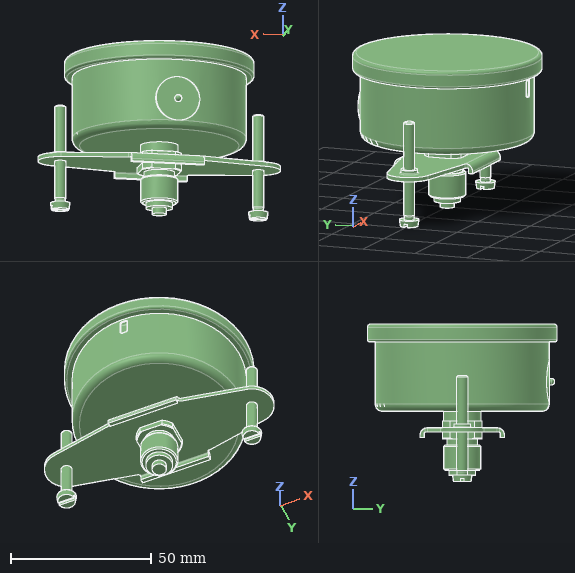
import cadquery as cq
import math

total_height = 56.1
total_length = 88.0

bezel_diameter = 67.6
bezel_bottom = 49.7
bezel_top_radius = 1.3
bezel_bottom_radius = 0.9
case_diameter = 62.0
case_bottom = 25.0
case_bottom_radius = 2.6

vent_width = 2.5
vent_height = 5.9
vent_center_z = 45.4
vent_end_radius = 0.7
vent_rim_chamfer = 0.22

pad_diameter = 15.8
pad_projection = 0.1
pad_center_z = 35.55
plug_diameter = 2.5
plug_reach = 32.9

neck_diameter = 13.5
square_top = 21.65
square_bottom = 15.2
square_width = 14.2
square_corner_diameter = 16.5
square_chamfer_height = 0.3
square_chamfer_depth = 0.35
relief_diameter = 11.0
barrel_diameter = 13.2
barrel_top = 13.1
barrel_bottom = 4.05
barrel_chamfer = 0.5
collar_diameter = 9.5
collar_bottom = 2.2
stud_diameter = 5.0

bracket_top = 19.2
bracket_thickness = 1.6
bracket_end_radius = 7.9
bracket_edge_angle = math.radians(11.0)
flange_length = 26.4
flange_width = 30.1
flange_bottom = 15.7
bend_outer_radius = 2.6
bend_inner_radius = 0.3
relief_radius = 0.9

screw_x = total_length / 2 - bracket_end_radius
screw_diameter = 4.0
screw_top = 37.75
screw_tip_chamfer = 0.4
undercut_diameter = 3.6
undercut_top = 3.5
undercut_taper_top = 4.05
head_height = 2.4
head_top_diameter = 7.0
head_bottom_diameter = 6.3
driver_slot_width = 1.2
driver_slot_depth = 1.1
bushing_diameter = 6.0
bushing_top = 20.6
bushing_base_radius = 0.4


def disc(diameter, bottom, top):
    """Upright cylinder on the Z axis between two heights."""
    return cq.Workplane("XY").workplane(offset=bottom).circle(diameter / 2).extrude(top - bottom)


def make_case():
    bezel = disc(bezel_diameter, bezel_bottom, total_height)
    bezel = bezel.faces(">Z").edges().fillet(bezel_top_radius)
    bezel = bezel.faces("<Z").edges().fillet(bezel_bottom_radius)
    body = disc(case_diameter, case_bottom, total_height - bezel_top_radius)
    body = body.faces("<Z").edges().fillet(case_bottom_radius)
    return bezel.union(body)


def cut_vent(case):
    """Cut a rounded-end cylinder with its axis on the case surface, then break its rim."""
    half_height = vent_height / 2
    cutter = disc(vent_width, vent_center_z - half_height, vent_center_z + half_height)
    cutter = cutter.edges().fillet(vent_end_radius).translate((0, -case_diameter / 2, 0))
    rim_limits = cq.selectors.BoxSelector(
        (-vent_width, -case_diameter / 2 - vent_rim_chamfer, vent_center_z - vent_height),
        (vent_width, -case_diameter / 2 + vent_rim_chamfer, vent_center_z + vent_height),
    )
    return case.cut(cutter).edges(rim_limits).chamfer(vent_rim_chamfer)


def make_pad_and_plug():
    pad_face = case_diameter / 2 + pad_projection
    dome_radius = plug_diameter / 2
    dome_center = (0, plug_reach - dome_radius, pad_center_z)
    root_depth = case_diameter / 4
    pad = (
        cq.Workplane("XZ", origin=(0, pad_face, pad_center_z))
        .circle(pad_diameter / 2)
        .extrude(root_depth)
    )
    stem = cq.Workplane("XZ", origin=dome_center).circle(dome_radius).extrude(root_depth)
    dome = cq.Workplane("XY").sphere(dome_radius).translate(dome_center)
    return pad.union(stem).union(dome)


def make_connector():
    neck = disc(neck_diameter, square_top, case_bottom + case_bottom_radius)
    corner_radius = square_corner_diameter / 2
    rounded_corners = (
        cq.Workplane("XZ")
        .moveTo(0, square_bottom)
        .lineTo(corner_radius - square_chamfer_depth, square_bottom)
        .lineTo(corner_radius, square_bottom + square_chamfer_height)
        .lineTo(corner_radius, square_top)
        .lineTo(0, square_top)
        .close()
        .revolve(360, (0, 0, 0), (0, 1, 0))
    )
    square = (
        cq.Workplane("XY")
        .workplane(offset=square_bottom)
        .rect(square_width, square_width)
        .extrude(square_top - square_bottom)
        .intersect(rounded_corners)
    )
    relief = disc(relief_diameter, barrel_top, square_bottom)
    barrel = disc(barrel_diameter, barrel_bottom, barrel_top).edges().chamfer(barrel_chamfer)
    collar = disc(collar_diameter, collar_bottom, barrel_bottom)
    stud = disc(stud_diameter, 0, collar_bottom)
    return neck.union(square).union(relief).union(barrel).union(collar).union(stud)


def bracket_quarter():
    """Plan of the +X +Y quarter: round end, sloping edge, relief fillet and flange end."""
    sin_a = math.sin(bracket_edge_angle)
    cos_a = math.cos(bracket_edge_angle)
    end_tangent = (screw_x + bracket_end_radius * sin_a, bracket_end_radius * cos_a)
    end_middle_angle = (math.pi / 2 - bracket_edge_angle) / 2
    end_middle = (
        screw_x + bracket_end_radius * math.cos(end_middle_angle),
        bracket_end_radius * math.sin(end_middle_angle),
    )
    relief_x = flange_length / 2 + relief_radius
    edge_y = end_tangent[1] + (end_tangent[0] - relief_x) * sin_a / cos_a
    relief_y = edge_y + relief_radius / cos_a
    relief_start = (relief_x - relief_radius * sin_a, relief_y - relief_radius * cos_a)
    relief_middle_angle = math.pi + (math.pi / 2 - bracket_edge_angle) / 2
    relief_middle = (
        relief_x + relief_radius * math.cos(relief_middle_angle),
        relief_y + relief_radius * math.sin(relief_middle_angle),
    )
    return (
        cq.Workplane("XY")
        .lineTo(total_length / 2, 0)
        .threePointArc(end_middle, end_tangent)
        .lineTo(*relief_start)
        .threePointArc(relief_middle, (flange_length / 2, relief_y))
        .lineTo(flange_length / 2, flange_width / 2)
        .lineTo(0, flange_width / 2)
        .close()
        .extrude(bracket_top)
    )


def make_bracket():
    """Sheet channel with two bent-down flanges, trimmed to the plan outline."""
    half_plan = bracket_quarter().union(bracket_quarter().mirror("YZ"))
    plan = half_plan.union(half_plan.mirror("XZ"))
    channel_height = bracket_top - flange_bottom
    outer = (
        cq.Workplane("XY")
        .workplane(offset=flange_bottom)
        .rect(total_length, flange_width)
        .extrude(channel_height)
        .edges("|X and >Z")
        .fillet(bend_outer_radius)
    )
    inner = (
        cq.Workplane("XY")
        .workplane(offset=flange_bottom)
        .rect(total_length, flange_width - 2 * bracket_thickness)
        .extrude(channel_height - bracket_thickness)
        .edges("|X and >Z")
        .fillet(bend_inner_radius)
    )
    return outer.cut(inner).intersect(plan)


def make_screw():
    """Slotted screw with its bushing, on the Z axis."""
    shaft_radius = screw_diameter / 2
    undercut_radius = undercut_diameter / 2
    screw = (
        cq.Workplane("XZ")
        .lineTo(head_bottom_diameter / 2, 0)
        .lineTo(head_top_diameter / 2, head_height)
        .lineTo(undercut_radius, head_height)
        .lineTo(undercut_radius, undercut_top)
        .lineTo(shaft_radius, undercut_taper_top)
        .lineTo(shaft_radius, screw_top - screw_tip_chamfer)
        .lineTo(shaft_radius - screw_tip_chamfer, screw_top)
        .lineTo(0, screw_top)
        .close()
        .revolve(360, (0, 0, 0), (0, 1, 0))
    )
    driver_slot = cq.Workplane("XY").rect(head_top_diameter, driver_slot_width).extrude(driver_slot_depth)
    bushing_radius = bushing_diameter / 2
    arc_offset = bushing_base_radius * (1 - math.sqrt(0.5))
    bushing = (
        cq.Workplane("XZ")
        .moveTo(0, bracket_top)
        .lineTo(bushing_radius + bushing_base_radius, bracket_top)
        .threePointArc(
            (bushing_radius + arc_offset, bracket_top + arc_offset),
            (bushing_radius, bracket_top + bushing_base_radius),
        )
        .lineTo(bushing_radius, bushing_top)
        .lineTo(0, bushing_top)
        .close()
        .revolve(360, (0, 0, 0), (0, 1, 0))
    )
    return screw.cut(driver_slot).union(bushing)


result = cut_vent(make_case()).union(make_pad_and_plug())
result = result.union(make_connector()).union(make_bracket())
for side in (-1, 1):
    result = result.union(make_screw().translate((side * screw_x, 0, 0)))